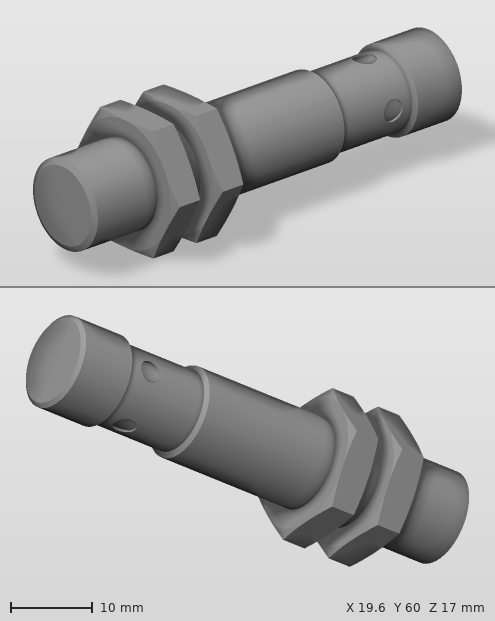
import cadquery as cq
import math


total_length = 60.0
barrel_diameter = 12.0
neck_diameter = 10.6
neck_start = 40.9
head_start = 52.0

sensing_face_diameter = 10.4
edge_chamfer_length = 0.4
rear_rim_diameter = 10.9

window_count = 4
window_diameter = 3.0
window_position = 49.0
window_floor_waist_radius = 4.9
window_floor_arc_radius = 6.0

nut_across_flats = 17.0
nut_thickness = 4.0
nut_chamfer_length = 0.35
nut_positions = (10.0, 17.05)


def make_barrel_blank():
    """Turned sensor barrel: main tube, narrower neck and connector head."""
    barrel_radius = barrel_diameter / 2
    neck_radius = neck_diameter / 2
    rim_radius = rear_rim_diameter / 2
    profile = [
        (0, 0),
        (sensing_face_diameter / 2, 0),
        (barrel_radius, edge_chamfer_length),
        (barrel_radius, neck_start - edge_chamfer_length),
        (rim_radius, neck_start),
        (neck_radius, neck_start),
        (neck_radius, head_start),
        (barrel_radius, head_start + edge_chamfer_length),
        (barrel_radius, total_length - edge_chamfer_length),
        (rim_radius, total_length),
        (0, total_length),
    ]
    return cq.Workplane("XY").polyline(profile).close().revolve(360, (0, 0, 0), (0, 1, 0))


def make_window_floor():
    """Revolved core with a concave waist whose surface forms the floor of every window."""
    half_length = window_diameter
    arc_rise = window_floor_arc_radius - math.sqrt(window_floor_arc_radius**2 - half_length**2)
    end_radius = window_floor_waist_radius + arc_rise
    front = window_position - half_length
    rear = window_position + half_length
    return (
        cq.Workplane("XY")
        .moveTo(0, front)
        .lineTo(end_radius, front)
        .threePointArc((window_floor_waist_radius, window_position), (end_radius, rear))
        .lineTo(0, rear)
        .close()
        .revolve(360, (0, 0, 0), (0, 1, 0))
    )


def make_window_cutter():
    """Shallow plug that sinks one window into the +Z side of the neck."""
    plug = (
        cq.Workplane("XY", origin=(0, window_position, 0))
        .circle(window_diameter / 2)
        .extrude(barrel_diameter / 2)
    )
    return plug.cut(make_window_floor())


def make_barrel():
    barrel = make_barrel_blank()
    cutter = make_window_cutter()
    for index in range(window_count):
        angle = index * 360 / window_count
        barrel = barrel.cut(cutter.rotate((0, 0, 0), (0, 1, 0), angle))
    return barrel


def make_nut(position):
    """Hexagon nut with its corners chamfered on both faces, starting at y = position."""
    corner_radius = nut_across_flats / math.sqrt(3)
    face_radius = nut_across_flats / 2
    hexagon = (
        cq.Workplane("XZ")
        .polygon(6, 2 * corner_radius)
        .extrude(-nut_thickness)
    )
    chamfer_profile = [
        (barrel_diameter / 2, 0),
        (face_radius, 0),
        (corner_radius, nut_chamfer_length),
        (corner_radius, nut_thickness - nut_chamfer_length),
        (face_radius, nut_thickness),
        (barrel_diameter / 2, nut_thickness),
    ]
    bored_envelope = (
        cq.Workplane("XY").polyline(chamfer_profile).close().revolve(360, (0, 0, 0), (0, 1, 0))
    )
    return hexagon.intersect(bored_envelope).translate((0, position, 0))


barrel = make_barrel()
nuts = [make_nut(position) for position in nut_positions]

result = cq.Compound.makeCompound([barrel.val(), *[nut.val() for nut in nuts]])